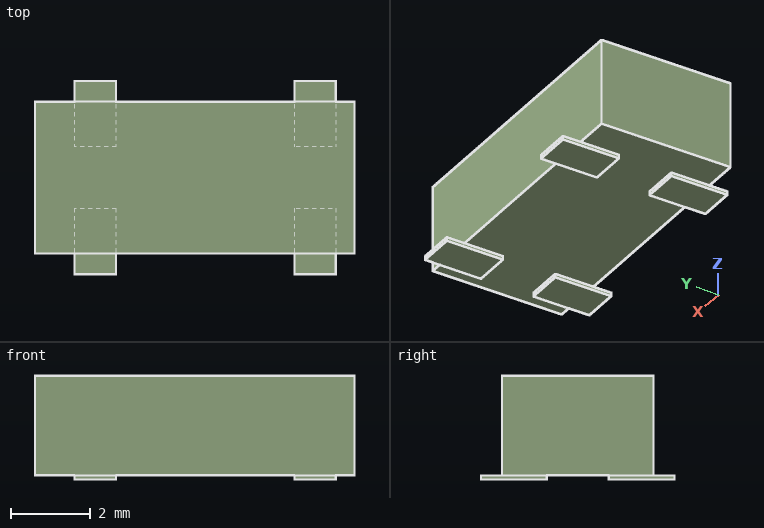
import cadquery as cq

BODY_LENGTH = 8.0
OVERALL_WIDTH = 4.84
OVERALL_HEIGHT = 2.6

TERMINAL_WIDTH = 1.04
TERMINAL_LENGTH = 1.65
TERMINAL_THICKNESS = 0.1
TERMINAL_PITCH = 5.5
FIRST_TERMINAL_INSET = 0.99

BODY_WIDTH = 3.8
BODY_HEIGHT = OVERALL_HEIGHT - TERMINAL_THICKNESS

FIRST_TERMINAL_X = -BODY_LENGTH / 2 + FIRST_TERMINAL_INSET + TERMINAL_WIDTH / 2
TERMINAL_XS = (FIRST_TERMINAL_X, FIRST_TERMINAL_X + TERMINAL_PITCH)
TERMINAL_Y = (OVERALL_WIDTH - TERMINAL_LENGTH) / 2


def make_housing():
    """Rectangular housing with its underside on top of the terminals."""
    return (
        cq.Workplane("XY")
        .workplane(offset=TERMINAL_THICKNESS)
        .rect(BODY_LENGTH, BODY_WIDTH)
        .extrude(BODY_HEIGHT)
    )


def make_terminal(x, y):
    """Flat terminal strip centred at (x, y), with its underside at Z = 0."""
    return (
        cq.Workplane("XY")
        .center(x, y)
        .rect(TERMINAL_WIDTH, TERMINAL_LENGTH)
        .extrude(TERMINAL_THICKNESS)
    )


housing = make_housing()

terminals = []
for terminal_x in TERMINAL_XS:
    for side in (-1, 1):
        terminals.append(make_terminal(terminal_x, side * TERMINAL_Y).val())

result = cq.Compound.makeCompound([housing.val(), *terminals])